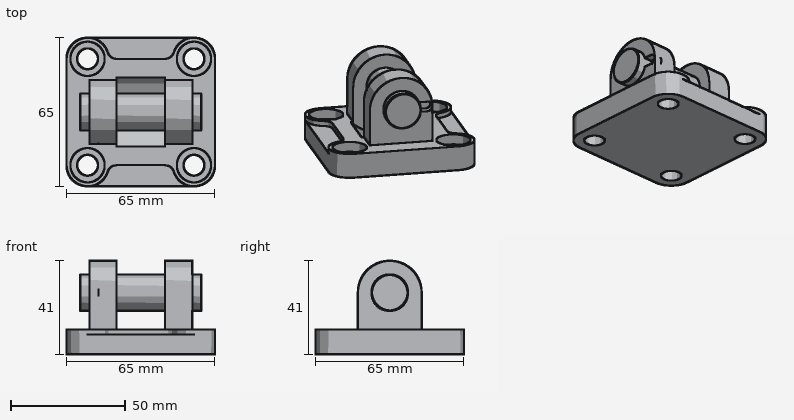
import cadquery as cq

plate_side = 65.0
plate_thickness = 11.0
hole_pitch = 46.5
hole_offset = hole_pitch / 2
corner_radius = (plate_side - hole_pitch) / 2

bolt_hole_diameter = 9.0
counterbore_diameter = 15.0
counterbore_depth = 4.5

recess_depth = 2.25
recess_corner_radius = 4.0

axis_height = 27.0
lug_radius = 14.0
lug_span = 45.0
lug_gap = 21.0
lug_thickness = (lug_span - lug_gap) / 2
swing_clearance_radius = 22.0

pin_diameter = 16.0
pin_length = 53.0
pin_chamfer = 0.25

slot_width = 4.4
slot_depth = 4.0
slot_end_wall = 0.02


def make_plate():
    plate = cq.Workplane("XY").box(
        plate_side, plate_side, plate_thickness, centered=(True, True, False)
    )
    return plate.edges("|Z").fillet(corner_radius)


def make_recess():
    """Recess on the +Y edge, running between the round bosses of two corner holes."""
    recess = cq.Workplane("XY", origin=(0, hole_offset, plate_thickness - recess_depth)).box(
        hole_pitch, corner_radius, recess_depth, centered=(True, False, False)
    )
    bosses = (
        cq.Workplane("XY")
        .pushPoints([(-hole_offset, hole_offset), (hole_offset, hole_offset)])
        .circle(corner_radius)
        .extrude(plate_thickness)
    )
    return recess.cut(bosses).edges("|Z").edges("<Y").fillet(recess_corner_radius)


def make_hole_cylinders(diameter, bottom_z):
    """Four cylinders at the hole centres, reaching up to the top of the plate."""
    return (
        cq.Workplane("XY", origin=(0, 0, bottom_z))
        .rect(hole_pitch, hole_pitch, forConstruction=True)
        .vertices()
        .circle(diameter / 2)
        .extrude(plate_thickness - bottom_z)
    )


def make_x_cylinder(radius, length):
    """Cylinder on the pivot axis, centred on X = 0."""
    plane = cq.Workplane("YZ", origin=(-length / 2, 0, axis_height))
    return plane.circle(radius).extrude(length)


def make_lug(start_x):
    lug = (
        cq.Workplane("YZ", origin=(start_x, 0, 0))
        .moveTo(-lug_radius, 0)
        .lineTo(lug_radius, 0)
        .lineTo(lug_radius, axis_height)
        .threePointArc((0, axis_height + lug_radius), (-lug_radius, axis_height))
        .close()
    )
    return lug.extrude(lug_thickness)


def make_key_slot():
    """Slot running from the pivot axis toward -Y, with a round outer end."""
    half_width = slot_width / 2
    end_y = slot_end_wall - lug_radius
    round_start_y = end_y + half_width
    slot = (
        cq.Workplane("YZ", origin=(-lug_span / 2, 0, axis_height))
        .moveTo(0, -half_width)
        .lineTo(round_start_y, -half_width)
        .threePointArc((end_y, 0), (round_start_y, half_width))
        .lineTo(0, half_width)
        .close()
    )
    return slot.extrude(slot_depth)


plate = make_plate()
recess = make_recess()
plate = plate.cut(recess).cut(recess.mirror("XZ"))
plate = plate.cut(make_hole_cylinders(bolt_hole_diameter, 0))
plate = plate.cut(make_hole_cylinders(counterbore_diameter, plate_thickness - counterbore_depth))

clevis = plate
for lug_start_x in (-lug_span / 2, lug_gap / 2):
    clevis = clevis.union(make_lug(lug_start_x))
clevis = clevis.cut(make_x_cylinder(swing_clearance_radius, lug_gap))
clevis = clevis.cut(make_key_slot())

pin = make_x_cylinder(pin_diameter / 2, pin_length).faces("<X or >X").chamfer(pin_chamfer)

result = clevis.union(pin)